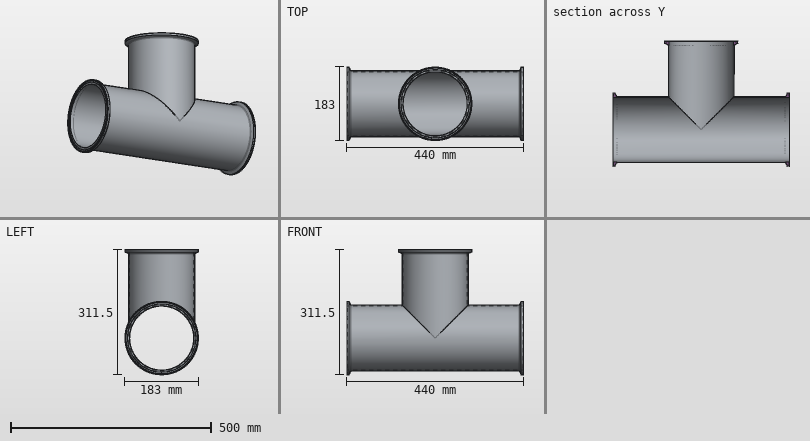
import cadquery as cq

run_length = 440.0
pipe_outer_radius = 165.0 / 2
pipe_inner_radius = 159.5 / 2
arm_length = run_length / 2

flange_radius = 183.0 / 2
rim_thickness = 5.5
flange_thickness = 9.5
flange_root_fillet = 1.8

groove_outer_radius = 89.0
groove_inner_radius = 85.0
groove_depth = 1.5
groove_lip_fillet = 0.5

edge_tolerance = 0.1

arm_directions = [(-1, 0, 0), (1, 0, 0), (0, 0, 1)]


def arm_plane(direction):
    """Plane at the crossing of the axes, with its normal along the arm."""
    return cq.Plane(origin=(0, 0, 0), xDir=(0, 1, 0), normal=direction)


def bore(direction):
    return cq.Workplane(arm_plane(direction)).circle(pipe_inner_radius).extrude(arm_length)


def circle_selector(radius, height):
    """Select the circular edge of the given radius at a height along Z."""
    return cq.selectors.BoxSelector(
        (-radius - edge_tolerance, -radius - edge_tolerance, height - edge_tolerance),
        (radius + edge_tolerance, radius + edge_tolerance, height + edge_tolerance),
        boundingbox=True,
    )


def revolve_about_z(section):
    return section.close().revolve(360, (0, 0, 0), (0, 1, 0))


def arm_body():
    """Solid pipe arm along Z with its clamp flange and gasket groove."""
    back = arm_length - flange_thickness
    profile = (
        cq.Workplane("XZ")
        .lineTo(pipe_outer_radius, 0)
        .lineTo(pipe_outer_radius, back)
        .lineTo(flange_radius, arm_length - rim_thickness)
        .lineTo(flange_radius, arm_length)
        .lineTo(0, arm_length)
    )
    body = revolve_about_z(profile)
    body = body.edges(circle_selector(pipe_outer_radius, back)).fillet(flange_root_fillet)

    groove_middle_radius = (groove_outer_radius + groove_inner_radius) / 2
    groove_section = (
        cq.Workplane("XZ")
        .moveTo(groove_inner_radius, arm_length)
        .threePointArc(
            (groove_middle_radius, arm_length - groove_depth),
            (groove_outer_radius, arm_length),
        )
    )
    body = body.cut(revolve_about_z(groove_section))
    return body.edges(circle_selector(groove_outer_radius, arm_length)).fillet(groove_lip_fillet)


arm = arm_body().val()
result = cq.Workplane("XY")
for direction in arm_directions:
    result = result.union(cq.Workplane(obj=arm.moved(cq.Location(arm_plane(direction)))))
for direction in arm_directions:
    result = result.cut(bore(direction))